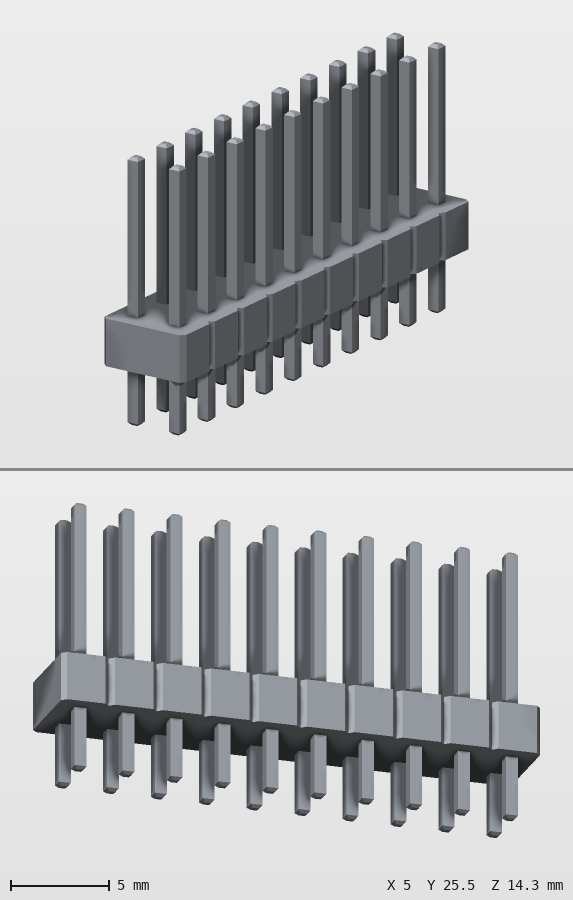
import cadquery as cq

pitch = 2.55
rows = 10
columns = 2
housing_width = 5.0
housing_height = 2.55
corner_cut = 0.25
housing_length = rows * pitch

pin_side = 0.64
pin_above = 8.48
pin_below = 3.28
pin_tip_cut = 0.15
pin_length = pin_below + housing_height + pin_above


def make_cell(y):
    """One housing cell with its four vertical corners chamfered."""
    outline = cq.Workplane("XY").center(0, y).rect(housing_width, pitch)
    return outline.extrude(housing_height).edges("|Z").chamfer(corner_cut)


def make_pin(x, y):
    """One square pin running through the housing, chamfered at both ends."""
    base = cq.Workplane("XY", origin=(x, y, -pin_below))
    pin = base.rect(pin_side, pin_side).extrude(pin_length)
    return pin.faces("<Z or >Z").chamfer(pin_tip_cut)


def centred_positions(count):
    """Places at the pin pitch, centred on zero."""
    return [(i - (count - 1) / 2) * pitch for i in range(count)]


core_width = housing_width - 2 * corner_cut
result = cq.Workplane("XY").rect(core_width, housing_length).extrude(housing_height)

for y in centred_positions(rows):
    result = result.union(make_cell(y))

for y in centred_positions(rows):
    for x in centred_positions(columns):
        result = result.union(make_pin(x, y))